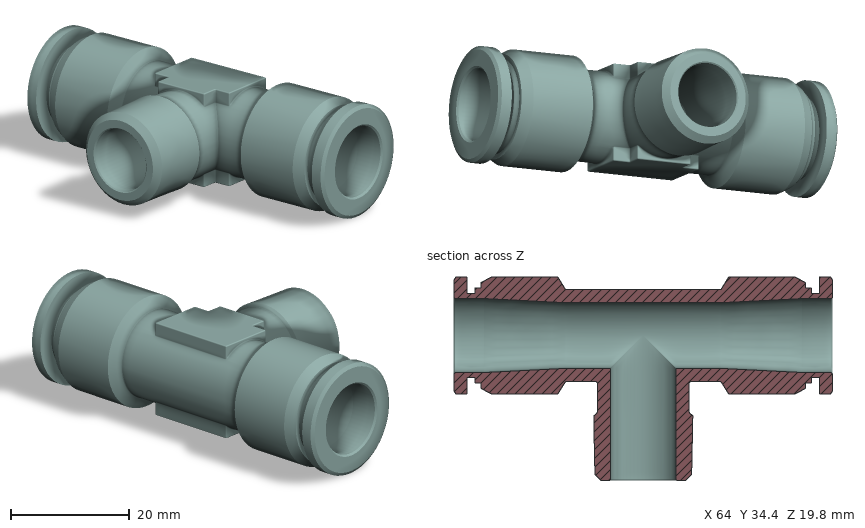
import cadquery as cq

HALF_LENGTH = 32.0
PIPE_RADIUS = 7.8
SOCKET_RADIUS = 9.9
SOCKET_START = 13.1
SOCKET_FULL_START = 14.4
SOCKET_FULL_END = 25.6
SOCKET_END = 27.4
SOCKET_END_RADIUS = 8.95
RING_RADIUS = 8.1
RING_END = 28.4

COLLET_NECK_RADIUS = 7.1
FLANGE_RADIUS = SOCKET_RADIUS
FLANGE_THICKNESS = 2.3
FLANGE_CHAMFER_LENGTH = 0.4
FLANGE_CHAMFER_DEPTH = 0.6

RUN_BORE_RADIUS = 5.5
TUBE_RADIUS = 6.2
TUBE_DEPTH = 5.2
TUBE_MOUTH_CHAMFER = 0.3

BRANCH_LENGTH = 24.5
THREAD_ROOT_START = 13.0
THREAD_START = 13.55
THREAD_END_CHAMFER = 1.1
THREAD_LARGE_RADIUS = 8.4
THREAD_SMALL_RADIUS = 8.2
BRANCH_BORE_RADIUS = 5.5
BRANCH_MOUTH_CHAMFER = 0.2

PAD_HEIGHT = 8.4
PAD_HALF_WIDTH = 8.05
PAD_HALF_DEPTH = 5.0
PAD_STEM_HALF_WIDTH = 5.0
PAD_STEM_REACH = 8.0

FILLET = 0.2
SELECTION_MARGIN = 0.1


def revolve_about_x(outline):
    return cq.Workplane("XY").polyline(outline).close().revolve(360, (0, 0, 0), (1, 0, 0))


def revolve_about_y(outline):
    return cq.Workplane("XY").polyline(outline).close().revolve(360, (0, 0, 0), (0, 1, 0))


def box_around(low, high):
    """Selector for edges whose centre lies between two corners, widened by a small margin."""
    return cq.selectors.BoxSelector(
        [value - SELECTION_MARGIN for value in low],
        [value + SELECTION_MARGIN for value in high],
    )


def run_end_body():
    """Outside of the half of the run on the +X side."""
    flange_start = HALF_LENGTH - FLANGE_THICKNESS
    outline = [
        (0, 0),
        (0, PIPE_RADIUS),
        (SOCKET_START, PIPE_RADIUS),
        (SOCKET_FULL_START, SOCKET_RADIUS),
        (SOCKET_FULL_END, SOCKET_RADIUS),
        (SOCKET_END, SOCKET_END_RADIUS),
        (SOCKET_END, RING_RADIUS),
        (RING_END, RING_RADIUS),
        (RING_END, COLLET_NECK_RADIUS),
        (flange_start, COLLET_NECK_RADIUS),
        (flange_start, FLANGE_RADIUS),
        (HALF_LENGTH - FLANGE_CHAMFER_LENGTH, FLANGE_RADIUS),
        (HALF_LENGTH, FLANGE_RADIUS - FLANGE_CHAMFER_DEPTH),
        (HALF_LENGTH, 0),
    ]
    body = revolve_about_x(outline)
    return body.edges(box_around((SOCKET_START, 0, 0), (SOCKET_START, 0, 0))).fillet(FILLET)


def run_end_bore():
    """Inside of the +X half: mouth chamfer, tube seat and a slow taper down to the bore."""
    outline = [
        (0, 0),
        (0, RUN_BORE_RADIUS),
        (SOCKET_START, RUN_BORE_RADIUS),
        (HALF_LENGTH - TUBE_DEPTH, TUBE_RADIUS),
        (HALF_LENGTH - TUBE_MOUTH_CHAMFER, TUBE_RADIUS),
        (HALF_LENGTH, TUBE_RADIUS + TUBE_MOUTH_CHAMFER),
        (HALF_LENGTH, 0),
    ]
    return revolve_about_x(outline)


def both_ends(half):
    return half.union(half.mirror("YZ"))


def branch_body():
    """Outside of the branch: pipe, then a tapered thread body with a lead-in chamfer."""
    thread_end = BRANCH_LENGTH - THREAD_END_CHAMFER
    outline = [
        (0, 0),
        (PIPE_RADIUS, 0),
        (PIPE_RADIUS, -THREAD_ROOT_START),
        (THREAD_LARGE_RADIUS, -THREAD_START),
        (THREAD_SMALL_RADIUS, -thread_end),
        (THREAD_SMALL_RADIUS - THREAD_END_CHAMFER, -BRANCH_LENGTH),
        (0, -BRANCH_LENGTH),
    ]
    root = box_around((0, -THREAD_ROOT_START, 0), (0, -THREAD_ROOT_START, 0))
    return revolve_about_y(outline).edges(root).fillet(FILLET)


def branch_bore():
    """Bore from the branch end into the run, with a small mouth chamfer."""
    outline = [
        (0, 0),
        (BRANCH_BORE_RADIUS, 0),
        (BRANCH_BORE_RADIUS, BRANCH_MOUTH_CHAMFER - BRANCH_LENGTH),
        (BRANCH_BORE_RADIUS + BRANCH_MOUTH_CHAMFER, -BRANCH_LENGTH),
        (0, -BRANCH_LENGTH),
    ]
    return revolve_about_y(outline)


def pads():
    """T-shaped prism through the junction; its two ends are the flat pads."""
    outline = [
        (-PAD_HALF_WIDTH, PAD_HALF_DEPTH),
        (PAD_HALF_WIDTH, PAD_HALF_DEPTH),
        (PAD_HALF_WIDTH, -PAD_HALF_DEPTH),
        (PAD_STEM_HALF_WIDTH, -PAD_HALF_DEPTH),
        (PAD_STEM_HALF_WIDTH, -PAD_STEM_REACH),
        (-PAD_STEM_HALF_WIDTH, -PAD_STEM_REACH),
        (-PAD_STEM_HALF_WIDTH, -PAD_HALF_DEPTH),
        (-PAD_HALF_WIDTH, -PAD_HALF_DEPTH),
    ]
    return cq.Workplane("XY").polyline(outline).close().extrude(PAD_HEIGHT, both=True)


def outer_body():
    """Run, branch and pads joined, with the junction corners and pad edges rounded."""
    body = both_ends(run_end_body()).union(branch_body()).union(pads())
    pad_and_corner_edges = box_around(
        (-PAD_HALF_WIDTH, -PAD_STEM_REACH, -PAD_HEIGHT),
        (PAD_HALF_WIDTH, PAD_HALF_DEPTH, PAD_HEIGHT),
    )
    return body.edges(pad_and_corner_edges).fillet(FILLET)


result = outer_body().cut(both_ends(run_end_bore())).cut(branch_bore())